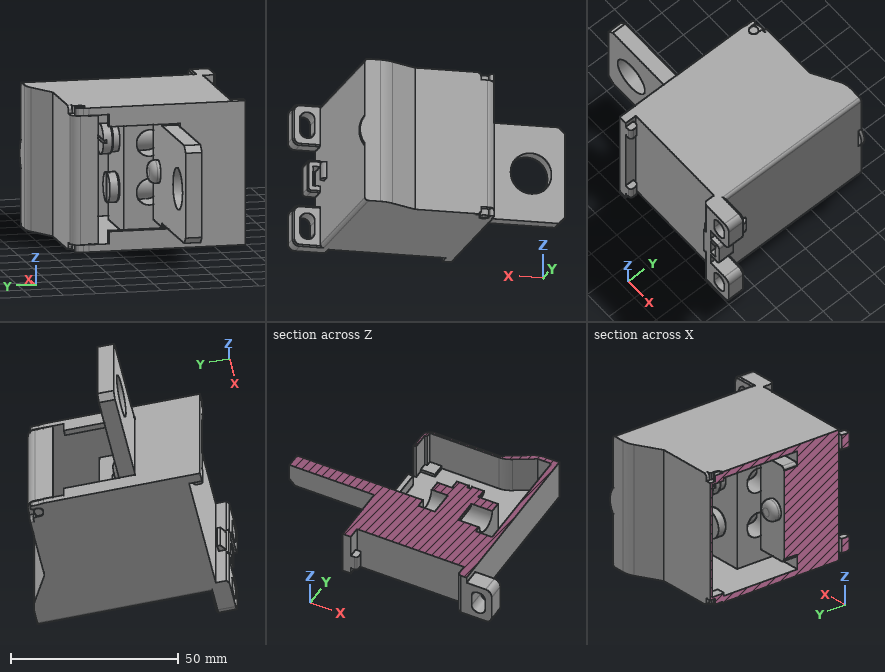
import cadquery as cq
import math


TOTAL_LENGTH = 79.2
HEIGHT = 59.2
WIDTH = 44.0
HALF_WIDTH = WIDTH / 2
FRONT_X = 28.7
BACK_X = 70.7
COVER_Y = 53.3
BACK_EDGE_RADIUS = 1.0
RAMP_START_X = 53.7
RAMP_ANGLE = math.radians(30)
CREST_RADIUS = 7.9

RAIL_FRONT_X = 31.5
RAIL_BACK_X = 67.6
RAIL_DEPTH = 3.95
LEG_CHAMFER_END_X = 68.7
LEG_CHAMFER_HEIGHT = 0.7
CATCH_HALF_WIDTH = 6.1
HOOK_TIP_X = 65.65
HOOK_HALF_WIDTH = 4.9
HOOK_TIP_BOTTOM = 2.1
HOOK_TOP = 3.1
BUMP_LENGTH = 2.2
BUMP_RADIUS = 1.1
BUMP_INNER_Z = 14.9
BUMP_OUTER_Z = 19.9

FOOT_HEIGHT = 6.0
FOOT_CHAMFER = 0.5
FOOT_INNER_Z = 9.35
FOOT_CORNER_RADIUS = 2.1
SLOT_X = 74.7
SLOT_Z = 15.7
SLOT_LENGTH = 8.0
SLOT_WIDTH = 4.6
EYE_END_X = 74.7
EYE_HALF_WIDTH = HOOK_HALF_WIDTH
EYE_CORNER_RADIUS = 1.0
EYE_WINDOW_LENGTH = 2.2
EYE_WINDOW_WIDTH = 6.0

NIB_Y = 12.0
NIB_RADIUS = 1.5
NIB_WIDTH = 5.1
LATCH_REACH = 1.4
LATCH_HALF_WIDTH = 4.35
LATCH_HEIGHT = 1.3

FRONT_WALL = 1.75
BACK_WALL = 2.0
COVER_WALL = 0.95
ROOF_WALL = 1.9
COVER_CORNER_RADIUS = 2.7
CAVITY_HALF_WIDTH = 19.7
SIDE_WALL = HALF_WIDTH - CAVITY_HALF_WIDTH
OPENING_HALF_WIDTH = 16.0
OPENING_STEP_Y = 41.7
FLAP_BOTTOM_Y = 45.15
FLAP_CLEARANCE = 0.15
CEILING_BLEND_RADIUS = 7.9

PIN_X = 31.6
PIN_Y = 50.05
PIN_RADIUS = 1.4
PIN_RECESS = 0.3
HINGE_GAP_X = 33.3
HINGE_ARM_BOTTOM = 48.0
LEAD_IN_RADIUS = 1.2
FINGER_SETBACK = 0.2
FINGER_TAPER_TOP = 49.65
FINGER_ROUND_Y = 51.4
FINGER_TIP_Y = 52.2

TAB_BOTTOM = 19.95
TAB_THICKNESS = 5.0
TAB_TOP = TAB_BOTTOM + TAB_THICKNESS
TAB_WIDTH = 29.85
TAB_CHAMFER = 2.0
TAB_HOLE_X = 10.5
TAB_HOLE_DIAMETER = 12.6
SHOULDER_X = 31.7
SHOULDER_RADIUS = 1.0

BLOCK_FRONT_X = 42.8
BLOCK_BACK_X = 63.35
BLOCK_TOP = 34.0
CLAMP_Z = 7.45
CLAMP_SCREW_X = 52.3
WIRE_HOLE_Y = 26.05
WIRE_HOLE_RADIUS = 4.0
SCREW_HEAD_RADIUS = 4.6
SCREW_HEAD_HEIGHT = 3.2
SCREW_HEAD_CHAMFER = 0.5
SCREW_SLOT = 0.95
SCREW_LIFT = 2.0
TAB_SCREW_X = 36.4
TAB_SCREW_RADIUS = 3.5
TAB_SCREW_HEIGHT = 3.1
TAB_SCREW_DOME = 2.05


def box(x0, x1, y0, y1, z0, z1):
    """Box between two opposite corners."""
    return cq.Workplane("XY").box(x1 - x0, y1 - y0, z1 - z0, centered=False).translate((x0, y0, z0))


def both_sides(half):
    """The given solid together with its mirror image in Z."""
    return half.union(half.mirror("XY"))


def upright_cylinder(x, z, y0, y1, radius):
    """Cylinder along Y."""
    plane = cq.Workplane(cq.Plane((x, y0, z), xDir=(1, 0, 0), normal=(0, 1, 0)))
    return plane.circle(radius).extrude(y1 - y0)


def level(y):
    """Workplane at a given height that extrudes toward +Y; its local axes are X and -Z."""
    return cq.Workplane(cq.Plane((0, y, 0), xDir=(1, 0, 0), normal=(0, 1, 0)))


def housing():
    crest_drop = CREST_RADIUS * (1 - math.cos(RAMP_ANGLE))
    ramp_end_y = HEIGHT - crest_drop
    ramp_end_x = RAMP_START_X + (ramp_end_y - COVER_Y) / math.tan(RAMP_ANGLE)
    crest_end_x = ramp_end_x + CREST_RADIUS * math.sin(RAMP_ANGLE)
    crest_mid_x = crest_end_x - CREST_RADIUS * math.sin(RAMP_ANGLE / 2)
    crest_mid_y = HEIGHT - CREST_RADIUS * (1 - math.cos(RAMP_ANGLE / 2))
    shell = (
        cq.Workplane("XY")
        .moveTo(FRONT_X, 0)
        .lineTo(RAIL_FRONT_X, 0)
        .lineTo(RAIL_FRONT_X, RAIL_DEPTH)
        .lineTo(RAIL_BACK_X, RAIL_DEPTH)
        .lineTo(RAIL_BACK_X, LEG_CHAMFER_HEIGHT)
        .lineTo(LEG_CHAMFER_END_X, 0)
        .lineTo(BACK_X, 0)
        .lineTo(BACK_X, HEIGHT)
        .lineTo(crest_end_x, HEIGHT)
        .threePointArc((crest_mid_x, crest_mid_y), (ramp_end_x, ramp_end_y))
        .lineTo(RAMP_START_X, COVER_Y)
        .lineTo(FRONT_X, COVER_Y)
        .close()
        .extrude(HALF_WIDTH, both=True)
    )
    shell = shell.faces(">X").edges("|Y").fillet(BACK_EDGE_RADIUS)
    return shell.edges(cq.NearestToPointSelector((FRONT_X, COVER_Y, 0))).fillet(COVER_CORNER_RADIUS)


def cavity():
    """Room inside the housing; its ceiling rises under the ramp after a rounded bend."""
    ceiling_y = COVER_Y - COVER_WALL
    inner_back_x = BACK_X - BACK_WALL
    bend = CEILING_BLEND_RADIUS
    bend_end = (
        RAMP_START_X + bend * math.sin(RAMP_ANGLE),
        ceiling_y + bend * (1 - math.cos(RAMP_ANGLE)),
    )
    bend_mid = (
        RAMP_START_X + bend * math.sin(RAMP_ANGLE / 2),
        ceiling_y + bend * (1 - math.cos(RAMP_ANGLE / 2)),
    )
    room_top = HEIGHT - ROOF_WALL
    slope_top_x = bend_end[0] + (room_top - bend_end[1]) / math.tan(RAMP_ANGLE)
    room = (
        cq.Workplane("XY")
        .moveTo(FRONT_X + FRONT_WALL, TAB_BOTTOM)
        .lineTo(inner_back_x, TAB_BOTTOM)
        .lineTo(inner_back_x, room_top)
        .lineTo(slope_top_x, room_top)
        .lineTo(*bend_end)
        .threePointArc(bend_mid, (RAMP_START_X, ceiling_y))
        .lineTo(FRONT_X + FRONT_WALL, ceiling_y)
        .close()
        .extrude(CAVITY_HALF_WIDTH, both=True)
    )
    flap_gap = box(
        FRONT_X + COVER_WALL, FRONT_X + COVER_CORNER_RADIUS, FLAP_BOTTOM_Y, COVER_Y - COVER_CORNER_RADIUS,
        -CAVITY_HALF_WIDTH, CAVITY_HALF_WIDTH,
    )
    flap_end_slit = box(
        FRONT_X, FRONT_X + FRONT_WALL, FLAP_BOTTOM_Y, HINGE_ARM_BOTTOM,
        CAVITY_HALF_WIDTH - FLAP_CLEARANCE, CAVITY_HALF_WIDTH,
    )
    lower_opening = box(
        FRONT_X, FRONT_X + FRONT_WALL, TAB_BOTTOM, OPENING_STEP_Y, -OPENING_HALF_WIDTH, OPENING_HALF_WIDTH
    )
    upper_opening = box(
        FRONT_X, FRONT_X + FRONT_WALL, OPENING_STEP_Y, FLAP_BOTTOM_Y, -CAVITY_HALF_WIDTH, CAVITY_HALF_WIDTH
    )
    hinge_arm = box(
        FRONT_X, HINGE_GAP_X + LEAD_IN_RADIUS, HINGE_ARM_BOTTOM, COVER_Y,
        CAVITY_HALF_WIDTH - COVER_WALL, CAVITY_HALF_WIDTH,
    )
    room = room.union(flap_gap).cut(both_sides(hinge_arm)).union(both_sides(flap_end_slit))
    return room.union(lower_opening).union(upper_opening)


def pin_cylinder(length):
    """Cylinder on the hinge axis, starting at the inner face of the +Z side wall."""
    start = cq.Workplane("XY", origin=(PIN_X, PIN_Y, CAVITY_HALF_WIDTH))
    return start.circle(PIN_RADIUS).extrude(length)


def hinge_gap():
    """Gap in one side wall above the pin; a round-tipped finger is left in front of it."""
    outside = 0.8
    finger_back_x = PIN_X - PIN_RADIUS
    finger_front_x = FRONT_X + FINGER_SETBACK
    finger_tip = ((finger_front_x + finger_back_x) / 2, FINGER_TIP_Y)
    gap = (
        cq.Workplane("XY")
        .workplane(offset=CAVITY_HALF_WIDTH)
        .moveTo(FRONT_X, HINGE_ARM_BOTTOM)
        .lineTo(finger_front_x, FINGER_TAPER_TOP)
        .lineTo(finger_front_x, FINGER_ROUND_Y)
        .threePointArc(finger_tip, (finger_back_x, FINGER_ROUND_Y))
        .lineTo(finger_back_x, PIN_Y)
        .lineTo(PIN_X + PIN_RADIUS, PIN_Y)
        .lineTo(PIN_X + PIN_RADIUS, FINGER_ROUND_Y)
        .lineTo(HINGE_GAP_X, COVER_Y - LEAD_IN_RADIUS)
        .lineTo(HINGE_GAP_X, COVER_Y + outside)
        .lineTo(FRONT_X - outside, COVER_Y + outside)
        .lineTo(FRONT_X - outside, HINGE_ARM_BOTTOM)
        .close()
        .extrude(SIDE_WALL)
    )
    lead_in_end_x = HINGE_GAP_X + LEAD_IN_RADIUS
    lead_in_z = HALF_WIDTH - LEAD_IN_RADIUS
    lead_in_y = COVER_Y - LEAD_IN_RADIUS
    lead_in = box(HINGE_GAP_X, lead_in_end_x, lead_in_y, COVER_Y, lead_in_z, HALF_WIDTH)
    lead_in = lead_in.cut(upright_cylinder(lead_in_end_x, lead_in_z, lead_in_y, COVER_Y, LEAD_IN_RADIUS))
    return gap.union(lead_in).union(pin_cylinder(SIDE_WALL))


def rail_clamp():
    """Two rounded bumps on the front leg and the sloped hook on the back leg."""
    bump = box(
        FRONT_X, RAIL_FRONT_X + BUMP_LENGTH, 0, HOOK_TOP, BUMP_INNER_Z, BUMP_OUTER_Z
    ).faces(">X").edges("|Z").fillet(BUMP_RADIUS)
    hook = (
        cq.Workplane("XY")
        .moveTo(LEG_CHAMFER_END_X, 0)
        .lineTo(HOOK_TIP_X, HOOK_TIP_BOTTOM)
        .lineTo(HOOK_TIP_X, HOOK_TOP)
        .lineTo(LEG_CHAMFER_END_X, HOOK_TOP)
        .close()
        .extrude(HOOK_HALF_WIDTH, both=True)
    )
    square_leg = box(RAIL_BACK_X, BACK_X, 0, RAIL_DEPTH, -CATCH_HALF_WIDTH, CATCH_HALF_WIDTH)
    return both_sides(bump).union(hook).union(square_leg)


def mounting_feet():
    """Base plate behind the housing with two slotted feet and a windowed eye between them."""
    base = box(LEG_CHAMFER_END_X, BACK_X, 0, FOOT_HEIGHT, -HALF_WIDTH, HALF_WIDTH)
    foot = box(LEG_CHAMFER_END_X, TOTAL_LENGTH, 0, FOOT_HEIGHT, FOOT_INNER_Z, HALF_WIDTH)
    foot = foot.faces(">X").edges("|Y").fillet(FOOT_CORNER_RADIUS)
    eye = box(LEG_CHAMFER_END_X, EYE_END_X, 0, FOOT_HEIGHT, -EYE_HALF_WIDTH, EYE_HALF_WIDTH)
    eye = eye.faces(">X").edges("|Y").fillet(EYE_CORNER_RADIUS)
    plate = base.union(both_sides(foot)).union(eye).faces(">Y").edges().chamfer(FOOT_CHAMFER)
    slots = (
        level(0)
        .pushPoints([(SLOT_X, SLOT_Z), (SLOT_X, -SLOT_Z)])
        .slot2D(SLOT_LENGTH, SLOT_WIDTH, 90)
        .extrude(FOOT_HEIGHT)
    )
    window = box(
        BACK_X, BACK_X + EYE_WINDOW_LENGTH, 0, FOOT_HEIGHT, -EYE_WINDOW_WIDTH / 2, EYE_WINDOW_WIDTH / 2
    )
    return plate.cut(slots).cut(window)


def back_catches():
    """Half-round nib low on the back wall and an arched latch at its top."""
    nib = cq.Workplane("XY", origin=(BACK_X, NIB_Y, 0)).circle(NIB_RADIUS).extrude(NIB_WIDTH / 2, both=True)
    nib = nib.intersect(box(BACK_X - BACK_WALL / 2, TOTAL_LENGTH, 0, HEIGHT, -NIB_WIDTH, NIB_WIDTH))
    latch = (
        level(HEIGHT - LATCH_HEIGHT)
        .moveTo(BACK_X, -LATCH_HALF_WIDTH)
        .threePointArc((BACK_X + LATCH_REACH, 0), (BACK_X, LATCH_HALF_WIDTH))
        .close()
        .extrude(LATCH_HEIGHT)
    )
    return nib.union(latch)


def connection_tab():
    tab = box(0, BLOCK_FRONT_X, TAB_BOTTOM, TAB_TOP, -TAB_WIDTH / 2, TAB_WIDTH / 2)
    tab = tab.faces("<X").edges("|Y").chamfer(TAB_CHAMFER)
    tab = tab.cut(upright_cylinder(TAB_HOLE_X, 0, TAB_BOTTOM, TAB_TOP, TAB_HOLE_DIAMETER / 2))
    shoulder = box(SHOULDER_X, BLOCK_FRONT_X, TAB_BOTTOM, TAB_TOP, -OPENING_HALF_WIDTH, OPENING_HALF_WIDTH)
    shoulder = shoulder.faces("<X").edges("|Y").fillet(SHOULDER_RADIUS)
    screw_top = TAB_TOP + TAB_SCREW_HEIGHT
    screw = upright_cylinder(TAB_SCREW_X, 0, TAB_TOP, screw_top, TAB_SCREW_RADIUS)
    screw = screw.faces(">Y").edges().fillet(TAB_SCREW_DOME)
    return tab.union(shoulder).union(screw)


def clamp_screw(z, head_bottom, slot_along_x):
    """Slotted screw whose shank reaches down across the wire hole."""
    head_top = head_bottom + SCREW_HEAD_HEIGHT
    shank_end = WIRE_HOLE_Y - WIRE_HOLE_RADIUS
    head = upright_cylinder(CLAMP_SCREW_X, z, head_bottom, head_top, SCREW_HEAD_RADIUS)
    head = head.faces("<Y").edges().chamfer(SCREW_HEAD_CHAMFER)
    shank = upright_cylinder(CLAMP_SCREW_X, z, shank_end, head_bottom, WIRE_HOLE_RADIUS)
    across = 2 * SCREW_HEAD_RADIUS
    slot_size = (across, SCREW_SLOT) if slot_along_x else (SCREW_SLOT, across)
    slot = cq.Workplane("XY").box(slot_size[0], 2 * SCREW_SLOT, slot_size[1])
    return head.cut(slot.translate((CLAMP_SCREW_X, head_top, z))).union(shank)


def clamp_block():
    block = box(
        BLOCK_FRONT_X, BLOCK_BACK_X, TAB_BOTTOM, BLOCK_TOP, -CAVITY_HALF_WIDTH, CAVITY_HALF_WIDTH
    )
    wire_holes = (
        cq.Workplane("YZ", origin=(BLOCK_FRONT_X, 0, 0))
        .pushPoints([(WIRE_HOLE_Y, CLAMP_Z), (WIRE_HOLE_Y, -CLAMP_Z)])
        .circle(WIRE_HOLE_RADIUS)
        .extrude(BLOCK_BACK_X - BLOCK_FRONT_X)
    )
    block = block.cut(wire_holes)
    block = block.union(clamp_screw(CLAMP_Z, BLOCK_TOP + SCREW_LIFT, True))
    return block.union(clamp_screw(-CLAMP_Z, BLOCK_TOP, False))


hinge_pin = pin_cylinder(SIDE_WALL - PIN_RECESS)
shell = housing().cut(cavity()).cut(both_sides(hinge_gap())).union(both_sides(hinge_pin))
shell = shell.union(rail_clamp()).union(mounting_feet()).union(back_catches())
result = shell.union(clamp_block()).union(connection_tab())